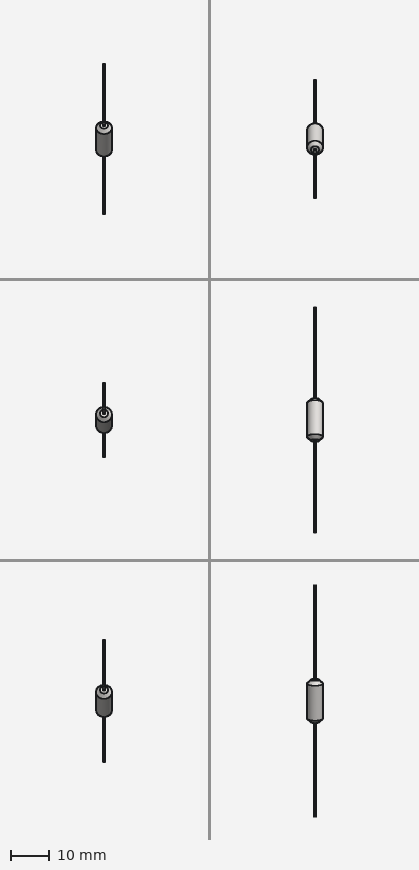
import cadquery as cq

total_length = 62.2
body_diameter = 4.2
body_length = 11.4
end_face_diameter = 2.1
end_cone_height = 1.0
lead_diameter = 0.6

lead_radius = lead_diameter / 2
body_radius = body_diameter / 2
end_face_radius = end_face_diameter / 2
lead_tip = total_length / 2
body_end = body_length / 2
shoulder = body_end - end_cone_height

result = (
    cq.Workplane("XZ")
    .moveTo(0, -lead_tip)
    .lineTo(lead_radius, -lead_tip)
    .lineTo(lead_radius, -body_end)
    .lineTo(end_face_radius, -body_end)
    .lineTo(body_radius, -shoulder)
    .lineTo(body_radius, shoulder)
    .lineTo(end_face_radius, body_end)
    .lineTo(lead_radius, body_end)
    .lineTo(lead_radius, lead_tip)
    .lineTo(0, lead_tip)
    .close()
    .revolve(360, (0, 0, 0), (0, 1, 0))
)